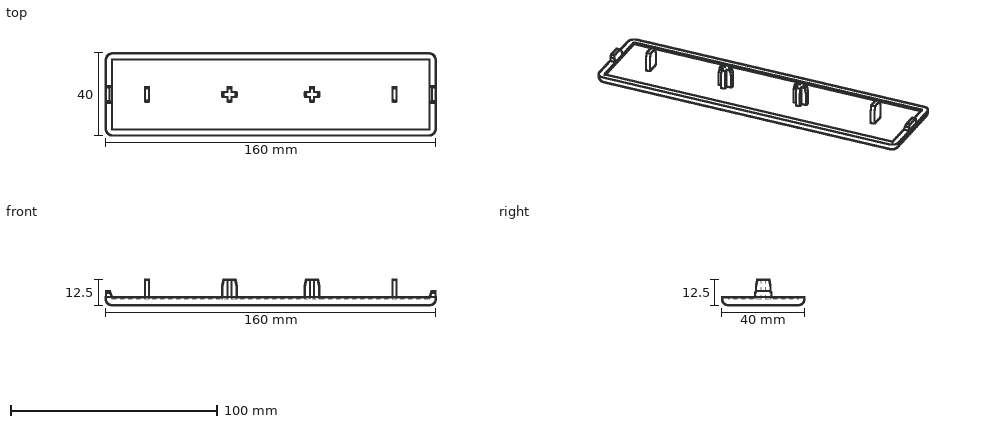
import cadquery as cq

length = 160.0
width = 40.0
plate_height = 4.0
corner_radius = 3.5
lower_edge_radius = 3.0
wall = 3.0
floor_thickness = 3.0

total_height = 12.5
post_diameter = 7.2
post_radius = post_diameter / 2
post_tip_height = 3.2
post_tip_inset = 0.6
blade_thickness = 2.0
cross_arm_thickness = 2.4
blade_spacing = 120.0
cross_spacing = 40.0

clip_top = 7.0
clip_width = 8.2
clip_outer_gap = 0.2
clip_base_thickness = wall - clip_outer_gap
clip_tip_thickness = 1.8
clip_side_chamfer_height = 1.1
clip_side_chamfer_inset = 0.8


def make_plate():
    """Rounded rectangular plate with a sharp-cornered pocket in its top."""
    body = (
        cq.Workplane("XY")
        .box(length, width, plate_height, centered=(True, True, False))
        .edges("|Z").fillet(corner_radius)
        .faces("<Z").edges().fillet(lower_edge_radius)
    )
    pocket = (
        cq.Workplane("XY", origin=(0, 0, floor_thickness))
        .rect(length - 2 * wall, width - 2 * wall)
        .extrude(plate_height)
    )
    return body.cut(pocket)


def make_round_bar():
    """Upright bar from the floor, straight up to its shoulder and conical above it."""
    shoulder = total_height - post_tip_height
    return (
        cq.Workplane("XZ")
        .moveTo(0, floor_thickness)
        .lineTo(post_radius, floor_thickness)
        .lineTo(post_radius, shoulder)
        .lineTo(post_radius - post_tip_inset, total_height)
        .lineTo(0, total_height)
        .close()
        .revolve(360, (0, 0, 0), (0, 1, 0))
    )


def make_slab(x_size, y_size):
    """Upright slab from the floor to the top of the posts."""
    return (
        cq.Workplane("XY", origin=(0, 0, floor_thickness))
        .rect(x_size, y_size)
        .extrude(total_height - floor_thickness)
    )


def make_blade():
    """Thin post spanning Y, with rounded and tapered narrow ends."""
    return make_slab(blade_thickness, post_diameter).intersect(make_round_bar())


def make_cross():
    """Blade crossed by a slightly thicker arm along X."""
    arm = make_slab(post_diameter, cross_arm_thickness).intersect(make_round_bar())
    return make_blade().union(arm)


def make_clip():
    """Clip on the +X end wall: upright outside, leaning inside, chamfered at both sides of its top."""
    outer = length / 2 - clip_outer_gap
    clip = (
        cq.Workplane("XZ")
        .moveTo(outer, plate_height)
        .lineTo(outer, clip_top)
        .lineTo(outer - clip_tip_thickness, clip_top)
        .lineTo(outer - clip_base_thickness, plate_height)
        .close()
        .extrude(clip_width / 2, both=True)
    )
    half = clip_width / 2
    shoulder = clip_top - clip_side_chamfer_height
    side_outline = (
        cq.Workplane("YZ")
        .moveTo(-half, plate_height)
        .lineTo(half, plate_height)
        .lineTo(half, shoulder)
        .lineTo(half - clip_side_chamfer_inset, clip_top)
        .lineTo(-half + clip_side_chamfer_inset, clip_top)
        .lineTo(-half, shoulder)
        .close()
        .extrude(length)
    )
    return clip.intersect(side_outline)


result = make_plate()
for side in (-1, 1):
    result = result.union(make_blade().translate((side * blade_spacing / 2, 0, 0)))
    result = result.union(make_cross().translate((side * cross_spacing / 2, 0, 0)))

clip = make_clip()
result = result.union(clip).union(clip.mirror("YZ"))